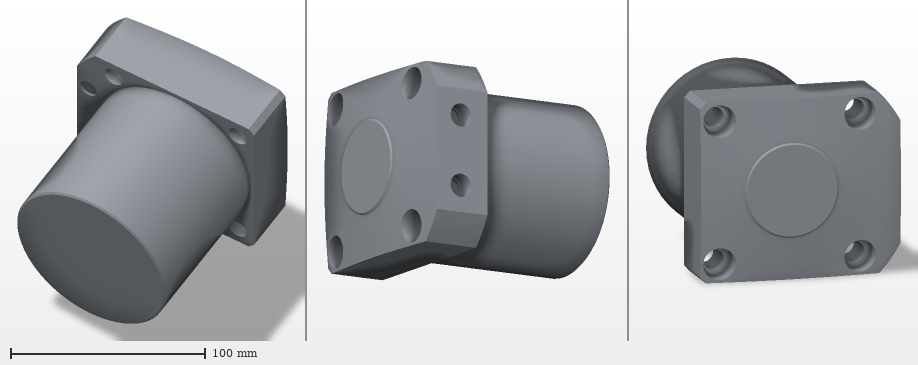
import cadquery as cq
import math

total_length = 120.0
barrel_length = 83.0
barrel_diameter = 90.0
barrel_chamfer = 1.0

flange_height = 95.0
flange_left = 59.5
flange_right = 47.5
corner_radius = 67.8
right_corner_chamfer = 3.2

disc_diameter = 50.0
disc_thickness = 1.0
cone_angle = 7.5
flange_depth = total_length - barrel_length
cone_outer_radius = 69.0

bolt_spacing = 75.0
bolt_diameter = 11.0
counterbore_diameter = 17.0
counterbore_floor = 21.0

port_spacing = 37.0
port_height = 16.0
port_thread_diameter = 12.2
port_thread_depth = 9.6
port_drill_diameter = 11.0
port_drill_depth = 12.0
face_port_offset = 52.5
face_port_diameter = 10.0
face_port_depth = 1.5


def make_barrel():
    barrel = cq.Workplane("XZ").circle(barrel_diameter / 2).extrude(barrel_length)
    return barrel.faces("<Y").chamfer(barrel_chamfer)


def make_flange_block():
    half_height = flange_height / 2
    arc_x = math.sqrt(corner_radius**2 - half_height**2)
    arc_z = math.sqrt(corner_radius**2 - flange_left**2)
    middle_angle = (math.atan2(half_height, arc_x) + math.atan2(arc_z, flange_left)) / 2
    middle_x = corner_radius * math.cos(middle_angle)
    middle_z = corner_radius * math.sin(middle_angle)
    block = (
        cq.Workplane("XZ")
        .moveTo(-arc_x, half_height)
        .lineTo(flange_right, half_height)
        .lineTo(flange_right, -half_height)
        .lineTo(-arc_x, -half_height)
        .threePointArc((-middle_x, -middle_z), (-flange_left, -arc_z))
        .lineTo(-flange_left, arc_z)
        .threePointArc((-middle_x, middle_z), (-arc_x, half_height))
        .close()
        .extrude(-flange_depth)
    )
    return block.edges("|Y and >X").chamfer(right_corner_chamfer)


def make_back_envelope():
    """Turned shape that gives the flange its conical back and raised disc."""
    disc_radius = disc_diameter / 2
    cone_top = flange_depth - disc_thickness
    cone_drop = (cone_outer_radius - disc_radius) * math.tan(math.radians(cone_angle))
    return (
        cq.Workplane("XY")
        .moveTo(0, 0)
        .lineTo(cone_outer_radius, 0)
        .lineTo(cone_outer_radius, cone_top - cone_drop)
        .lineTo(disc_radius, cone_top)
        .lineTo(disc_radius - disc_thickness, flange_depth)
        .lineTo(0, flange_depth)
        .close()
        .revolve(360, (0, 0, 0), (0, 1, 0))
    )


def bolt_pattern_cylinders(diameter, start):
    """Cylinders at the four bolt positions, from Y = start to the back of the flange."""
    return (
        cq.Workplane("XZ", origin=(0, start, 0))
        .rect(bolt_spacing, bolt_spacing, forConstruction=True)
        .vertices()
        .circle(diameter / 2)
        .extrude(start - flange_depth)
    )


def cut_bolt_holes(body):
    body = body.cut(bolt_pattern_cylinders(bolt_diameter, 0))
    return body.cut(bolt_pattern_cylinders(counterbore_diameter, counterbore_floor))


def cut_ports(body):
    for z in (-port_spacing / 2, port_spacing / 2):
        side_port = cq.Workplane("YZ", origin=(-flange_left, port_height, z))
        body = body.cut(side_port.circle(port_thread_diameter / 2).extrude(port_thread_depth))
        body = body.cut(side_port.circle(port_drill_diameter / 2).extrude(port_drill_depth))
        face_port = cq.Workplane("XZ", origin=(-face_port_offset, 0, z))
        body = body.cut(face_port.circle(face_port_diameter / 2).extrude(-face_port_depth))
    return body


flange = make_flange_block().intersect(make_back_envelope())
flange = cut_ports(cut_bolt_holes(flange))
result = flange.union(make_barrel())